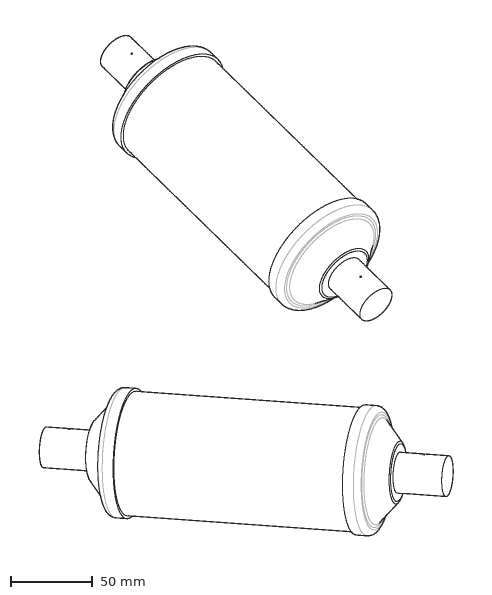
import cadquery as cq
import math

total_length = 257.0
half_length = total_length / 2

tube_radius = 12.5
neck_face_radius = 17.7
neck_radius = 19.3
cone_radius = 33.0
cap_radius = 40.0
shell_radius = 38.3

tube_length = 31.0
shell_start = 55.3
neck_round_depth = 0.5
rim_start = 44.5

rim_round = 3.9
blend_radial = 1.8
blend_axial = 0.8

dimple_inset = 15.2
dimple_diameter = 0.8
dimple_depth = 0.8


def half_body():
    """Revolved body from the middle plane to the -X tube end."""
    tube_end = -half_length
    neck_face = tube_end + tube_length
    cone_start = neck_face + neck_round_depth
    rim_face = tube_end + rim_start
    rim_corner = cap_radius - rim_round
    arc_offset = rim_round * math.sqrt(0.5)
    rim_arc_middle = (rim_face + rim_round - arc_offset, rim_corner + arc_offset)
    shell_edge = tube_end + shell_start
    profile = (
        cq.Workplane("XY")
        .moveTo(tube_end, 0)
        .lineTo(tube_end, tube_radius)
        .lineTo(neck_face, tube_radius)
        .lineTo(neck_face, neck_face_radius)
        .lineTo(cone_start, neck_radius)
        .lineTo(rim_face - blend_axial, cone_radius)
        .tangentArcPoint((blend_axial, blend_radial), relative=True)
        .lineTo(rim_face, rim_corner)
        .threePointArc(rim_arc_middle, (rim_face + rim_round, cap_radius))
        .lineTo(shell_edge, cap_radius)
        .lineTo(shell_edge, shell_radius)
        .lineTo(0, shell_radius)
        .lineTo(0, 0)
        .close()
    )
    return profile.revolve(360, (0, 0, 0), (1, 0, 0))


def dimples():
    """Round cutters sunk into the top of both tubes."""
    dimple_x = half_length - dimple_inset
    return (
        cq.Workplane("XY")
        .workplane(offset=tube_radius - dimple_depth)
        .pushPoints([(-dimple_x, 0), (dimple_x, 0)])
        .circle(dimple_diameter / 2)
        .extrude(2 * dimple_depth)
    )


left_half = half_body()
body = left_half.union(left_half.mirror("YZ"))
result = body.cut(dimples())